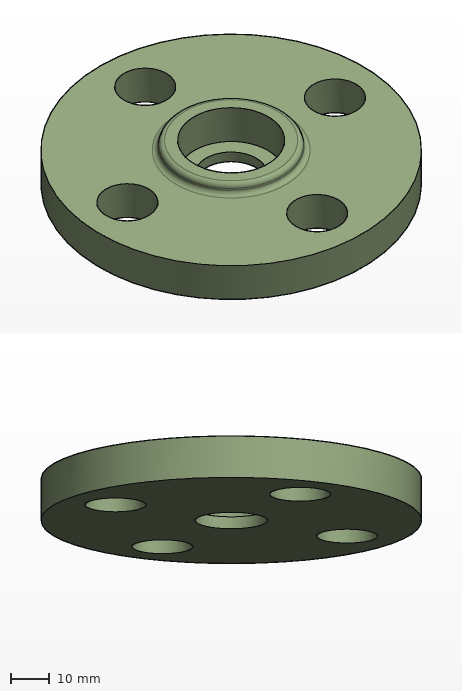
import cadquery as cq
import math

flange_diameter = 98.5
flange_thickness = 11.0

overall_height = 14.2
hub_base_diameter = 38.2
hub_taper_angle = 10.0
hub_round_radius = 1.6
hub_height = overall_height - flange_thickness
hub_base_radius = hub_base_diameter / 2
hub_top_radius = hub_base_radius - hub_height * math.tan(math.radians(hub_taper_angle))

bore_diameter = 18.7
socket_diameter = 27.7
socket_depth = 11.0

bolt_hole_count = 4
bolt_hole_diameter = 15.8
bolt_circle_radius = 34.9


def flange_with_hub():
    """Disc and hub revolved from one half profile, with both hub corners rounded."""
    flange_radius = flange_diameter / 2
    body = (
        cq.Workplane("XZ")
        .moveTo(0, 0)
        .lineTo(flange_radius, 0)
        .lineTo(flange_radius, flange_thickness)
        .lineTo(hub_base_radius, flange_thickness)
        .lineTo(hub_top_radius, overall_height)
        .lineTo(0, overall_height)
        .close()
        .revolve(360, (0, 0), (0, 1))
    )
    hub_corners = cq.selectors.RadiusNthSelector(0) + cq.selectors.RadiusNthSelector(1)
    return body.edges("%CIRCLE").edges(hub_corners).fillet(hub_round_radius)


def central_opening():
    """Cutter for the through bore and the socket above it."""
    bore = cq.Workplane("XY").circle(bore_diameter / 2).extrude(overall_height)
    socket = (
        cq.Workplane("XY")
        .workplane(offset=overall_height - socket_depth)
        .circle(socket_diameter / 2)
        .extrude(socket_depth)
    )
    return bore.union(socket)


def bolt_holes():
    """Cutter for the evenly spaced holes through the flange."""
    return (
        cq.Workplane("XY")
        .polarArray(bolt_circle_radius, 0, 360, bolt_hole_count)
        .circle(bolt_hole_diameter / 2)
        .extrude(flange_thickness)
    )


result = flange_with_hub().cut(central_opening()).cut(bolt_holes())